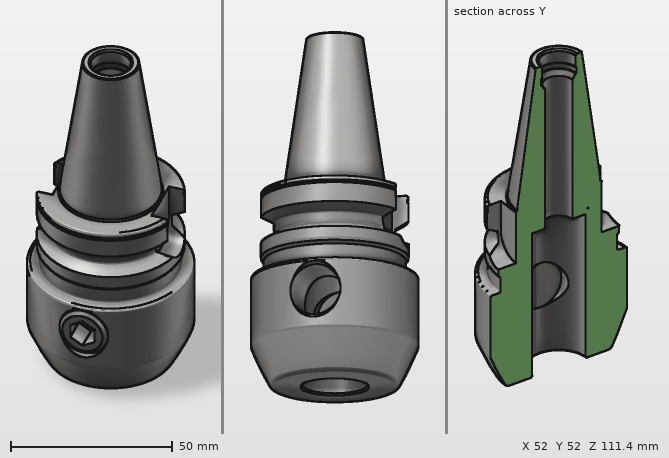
import cadquery as cq
import math


SHANK_LENGTH = 48.4
GAUGE_RADIUS = 31.75 / 2
TAPER_SLOPE = 7 / 24 / 2
TAPER_START_Z = 0.85
COLLAR_RADIUS = 15.8
COLLAR_TOP_Z = 0.2
COLLAR_BOTTOM_Z = -0.5
SHANK_END_CHAMFER = 0.3

FLANGE_RADIUS = 46 / 2
FLANGE_TOP_Z = -1.0
FLANGE_TOP_FILLET = 1.0
FACE_GROOVE_DEPTH = 0.1
FACE_GROOVE_FLOOR_RADIUS = 16.3
FACE_GROOVE_RIM_RADIUS = 16.9
RIM_GROOVE_TOP_Z = -2.5
RIM_GROOVE_BOTTOM_Z = -3.4
RIM_GROOVE_DEPTH = 0.4
V_GROOVE_CENTER_Z = -13.4
V_GROOVE_FLOOR_RADIUS = 38.1 / 2
V_GROOVE_FLOOR_WIDTH = 3.4
V_GROOVE_CORNER_FILLET = 0.6
V_GROOVE_FLANK_ANGLE = 30
FLANGE_BOTTOM_Z = -20.8
RELIEF_HEIGHT = 1.0
RELIEF_DEPTH = 0.1

NECK_RADIUS = 44.2 / 2
NECK_TOP_Z = -22.8
NECK_FILLET = 0.8
BODY_RADIUS = 52 / 2
BODY_TOP_Z = -28.0
BODY_TOP_FILLET = 1.0
BODY_BOTTOM_Z = -63.0
NOSE_START_Z = -50.15
NOSE_START_FILLET = 2.0
NOSE_END_RADIUS = 19.8
NOSE_END_FILLET = 2.0
NOSE_BULGE = 0.3

SLOT_WIDTH = 16.1
SLOT_FLAT_X = 16.3
SLOT_BOTTOM_Z = -19.45

TOOL_BORE_RADIUS = 20 / 2
TOOL_BORE_DEPTH = 52.0
DRAWBAR_BORE_RADIUS = 10.3 / 2
PILOT_RADIUS = 12.5 / 2
PILOT_DEPTH = 4.9
PILOT_UNDERCUT_RADIUS = 6.6
PILOT_UNDERCUT_WIDTH = 2.1
PILOT_SEAT_HALF_ANGLE = 30
BORE_CHAMFER = 0.6

SCREW_HEIGHT = 25.0
SCREW_Z = BODY_BOTTOM_Z + SCREW_HEIGHT
SCREW_RADIUS = 16 / 2
SCREW_CHAMFER = 1.4
MOUTH_RADIUS = 9.0
HEX_ACROSS_FLATS = 8.0
HEX_DEPTH = 8.0


def taper_radius(z):
    return GAUGE_RADIUS - z * TAPER_SLOPE


def round_circles(body, low_z, high_z, radius):
    """Fillet the circular edges centred on the axis between two heights."""
    margin = 0.1
    around_axis = cq.selectors.BoxSelector(
        (-margin, -margin, low_z - margin),
        (margin, margin, high_z + margin),
    )
    return body.edges(around_axis).fillet(radius)


def outer_body():
    """Everything turned on the outside, as one revolved half section."""
    flank_height = (FLANGE_RADIUS - V_GROOVE_FLOOR_RADIUS) * math.tan(math.radians(V_GROOVE_FLANK_ANGLE))
    v_floor_top = V_GROOVE_CENTER_Z + V_GROOVE_FLOOR_WIDTH / 2
    v_floor_bottom = V_GROOVE_CENTER_Z - V_GROOVE_FLOOR_WIDTH / 2
    rim_groove_radius = FLANGE_RADIUS - RIM_GROOVE_DEPTH
    face_groove_z = FLANGE_TOP_Z - FACE_GROOVE_DEPTH
    relief_radius = FLANGE_RADIUS - RELIEF_DEPTH
    relief_z = FLANGE_BOTTOM_Z - RELIEF_HEIGHT
    small_radius = taper_radius(SHANK_LENGTH)
    nose_middle = (
        (BODY_RADIUS + NOSE_END_RADIUS) / 2 + NOSE_BULGE,
        (NOSE_START_Z + BODY_BOTTOM_Z) / 2,
    )
    diagonal = 1 - math.sqrt(0.5)
    profile = (
        cq.Workplane("XZ")
        .moveTo(0, SHANK_LENGTH)
        .lineTo(small_radius - SHANK_END_CHAMFER, SHANK_LENGTH)
        .lineTo(taper_radius(SHANK_LENGTH - SHANK_END_CHAMFER), SHANK_LENGTH - SHANK_END_CHAMFER)
        .lineTo(taper_radius(TAPER_START_Z), TAPER_START_Z)
        .lineTo(COLLAR_RADIUS, COLLAR_TOP_Z)
        .lineTo(COLLAR_RADIUS, COLLAR_BOTTOM_Z)
        .lineTo(FACE_GROOVE_FLOOR_RADIUS, face_groove_z)
        .lineTo(FACE_GROOVE_RIM_RADIUS, FLANGE_TOP_Z)
        .lineTo(FLANGE_RADIUS - FLANGE_TOP_FILLET, FLANGE_TOP_Z)
        .threePointArc(
            (FLANGE_RADIUS - diagonal * FLANGE_TOP_FILLET, FLANGE_TOP_Z - diagonal * FLANGE_TOP_FILLET),
            (FLANGE_RADIUS, FLANGE_TOP_Z - FLANGE_TOP_FILLET),
        )
        .lineTo(FLANGE_RADIUS, RIM_GROOVE_TOP_Z)
        .lineTo(rim_groove_radius, RIM_GROOVE_TOP_Z)
        .lineTo(rim_groove_radius, RIM_GROOVE_BOTTOM_Z + RIM_GROOVE_DEPTH)
        .lineTo(FLANGE_RADIUS, RIM_GROOVE_BOTTOM_Z)
        .lineTo(FLANGE_RADIUS, v_floor_top + flank_height)
        .lineTo(V_GROOVE_FLOOR_RADIUS, v_floor_top)
        .lineTo(V_GROOVE_FLOOR_RADIUS, v_floor_bottom)
        .lineTo(FLANGE_RADIUS, v_floor_bottom - flank_height)
        .lineTo(FLANGE_RADIUS, FLANGE_BOTTOM_Z)
        .lineTo(relief_radius, relief_z)
        .lineTo(NECK_RADIUS, NECK_TOP_Z)
        .lineTo(NECK_RADIUS, BODY_TOP_Z + NECK_FILLET)
        .threePointArc(
            (NECK_RADIUS + diagonal * NECK_FILLET, BODY_TOP_Z + diagonal * NECK_FILLET),
            (NECK_RADIUS + NECK_FILLET, BODY_TOP_Z),
        )
        .lineTo(BODY_RADIUS - BODY_TOP_FILLET, BODY_TOP_Z)
        .threePointArc(
            (BODY_RADIUS - diagonal * BODY_TOP_FILLET, BODY_TOP_Z - diagonal * BODY_TOP_FILLET),
            (BODY_RADIUS, BODY_TOP_Z - BODY_TOP_FILLET),
        )
        .lineTo(BODY_RADIUS, NOSE_START_Z)
        .threePointArc(nose_middle, (NOSE_END_RADIUS, BODY_BOTTOM_Z))
        .lineTo(0, BODY_BOTTOM_Z)
        .close()
    )
    turned = profile.revolve(360, (0, 0, 0), (0, 1, 0))
    turned = round_circles(turned, v_floor_bottom, v_floor_top, V_GROOVE_CORNER_FILLET)
    turned = round_circles(turned, NOSE_START_Z, NOSE_START_Z, NOSE_START_FILLET)
    return round_circles(turned, BODY_BOTTOM_Z, BODY_BOTTOM_Z, NOSE_END_FILLET)


def axial_bores():
    """Tool bore, drawbar bore and pilot recess, as one revolved solid."""
    tool_bore_top = BODY_BOTTOM_Z + TOOL_BORE_DEPTH
    pilot_bottom = SHANK_LENGTH - PILOT_DEPTH
    undercut_bottom = pilot_bottom - PILOT_UNDERCUT_WIDTH
    seat_height = (PILOT_RADIUS - DRAWBAR_BORE_RADIUS) / math.tan(math.radians(PILOT_SEAT_HALF_ANGLE))
    seat_bottom = undercut_bottom - seat_height
    profile = (
        cq.Workplane("XZ")
        .moveTo(0, BODY_BOTTOM_Z)
        .lineTo(TOOL_BORE_RADIUS + BORE_CHAMFER, BODY_BOTTOM_Z)
        .lineTo(TOOL_BORE_RADIUS, BODY_BOTTOM_Z + BORE_CHAMFER)
        .lineTo(TOOL_BORE_RADIUS, tool_bore_top)
        .lineTo(DRAWBAR_BORE_RADIUS, tool_bore_top)
        .lineTo(DRAWBAR_BORE_RADIUS, seat_bottom)
        .lineTo(PILOT_RADIUS, undercut_bottom)
        .lineTo(PILOT_UNDERCUT_RADIUS, undercut_bottom)
        .lineTo(PILOT_UNDERCUT_RADIUS, pilot_bottom)
        .lineTo(PILOT_RADIUS, pilot_bottom)
        .lineTo(PILOT_RADIUS, SHANK_LENGTH - BORE_CHAMFER)
        .lineTo(PILOT_RADIUS + BORE_CHAMFER, SHANK_LENGTH)
        .lineTo(0, SHANK_LENGTH)
        .close()
    )
    return profile.revolve(360, (0, 0, 0), (0, 1, 0))


def drive_slot(side):
    """Round-bottomed key slot, open upward and outward; side is +1 or -1 along X."""
    half_width = SLOT_WIDTH / 2
    arc_center_z = SLOT_BOTTOM_Z + half_width
    return (
        cq.Workplane("YZ", origin=(side * SLOT_FLAT_X, 0, 0))
        .moveTo(-half_width, FLANGE_TOP_Z)
        .lineTo(-half_width, arc_center_z)
        .threePointArc((0, SLOT_BOTTOM_Z), (half_width, arc_center_z))
        .lineTo(half_width, FLANGE_TOP_Z)
        .close()
        .extrude(side * (BODY_RADIUS - SLOT_FLAT_X))
    )


def cross_hole(side):
    """Hole from the axis out through the wall, countersunk at its mouth; side is +1 or -1 along Y."""
    countersink_depth = MOUTH_RADIUS - SCREW_RADIUS
    profile = (
        cq.Workplane("XY", origin=(0, 0, SCREW_Z))
        .lineTo(SCREW_RADIUS, 0)
        .lineTo(SCREW_RADIUS, side * (BODY_RADIUS - countersink_depth))
        .lineTo(MOUTH_RADIUS, side * BODY_RADIUS)
        .lineTo(0, side * BODY_RADIUS)
        .close()
    )
    return profile.revolve(360, (0, 0, 0), (0, 1, 0))


def clamping_screw():
    """Set screw filling the -Y hole, flush with the body and with a hexagon socket."""
    length = BODY_RADIUS - TOOL_BORE_RADIUS
    outer_plane = cq.Workplane("XZ", origin=(0, -BODY_RADIUS, SCREW_Z))
    socket = (
        outer_plane
        .polygon(6, HEX_ACROSS_FLATS, circumscribed=True)
        .extrude(-HEX_DEPTH)
    )
    screw = outer_plane.circle(SCREW_RADIUS).extrude(-length)
    return screw.faces("<Y").chamfer(SCREW_CHAMFER).cut(socket)


result = outer_body().cut(axial_bores())
for side in (-1, 1):
    result = result.cut(drive_slot(side)).cut(cross_hole(side))
result = result.union(clamping_screw())